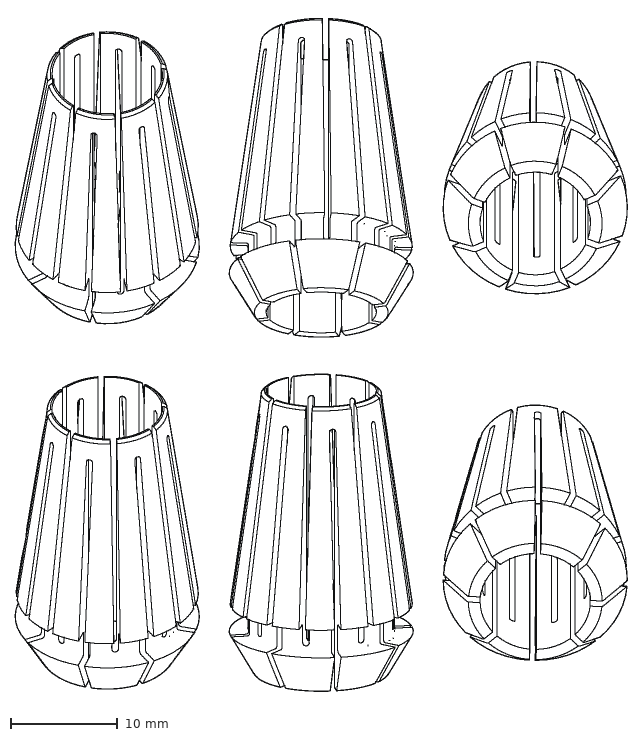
import cadquery as cq
import math

total_height = 27.5
bore_radius = 5.155

flange_diameter = 17.25
flange_radius = flange_diameter / 2
flange_height = 4.0
flange_angle = 30.0
bottom_chamfer = 0.15

groove_radius = 6.88
groove_height = 2.67
groove_fillet = 0.25
groove_top_fillet = 0.16

taper_angle = 8.0
taper_base_radius = 8.52
taper_base_z = flange_height + groove_height
tip_chamfer_height = 0.28
tip_face_width = 0.16

slit_width = 0.6
slits_per_end = 8
slit_pitch = 360.0 / slits_per_end
lower_slit_top = 25.46
upper_slit_bottom = 4.6


def collet_body():
    """Revolve the outer profile, including the bore, about Z."""
    bottom_radius = flange_radius - flange_height * math.tan(math.radians(flange_angle))
    chamfer_radius = bottom_radius + bottom_chamfer * math.tan(math.radians(flange_angle))
    tip_z = total_height - tip_chamfer_height
    tip_radius = taper_base_radius - (tip_z - taper_base_z) * math.tan(math.radians(taper_angle))
    profile = (
        cq.Workplane("XZ")
        .moveTo(bore_radius, 0)
        .lineTo(chamfer_radius - bottom_chamfer, 0)
        .lineTo(chamfer_radius, bottom_chamfer)
        .lineTo(flange_radius, flange_height)
        .lineTo(groove_radius + groove_fillet, flange_height)
        .radiusArc((groove_radius, flange_height + groove_fillet), groove_fillet)
        .lineTo(groove_radius, taper_base_z - groove_top_fillet)
        .radiusArc((groove_radius + groove_top_fillet, taper_base_z), groove_top_fillet)
        .lineTo(taper_base_radius, taper_base_z)
        .lineTo(tip_radius, tip_z)
        .lineTo(bore_radius + tip_face_width, total_height)
        .lineTo(bore_radius, total_height)
        .close()
    )
    return profile.revolve(360, (0, 0, 0), (0, 1, 0))


def radial_slit(round_end_z, open_end_z):
    """Slit through one wall toward +X, with a full round at its closed end."""
    half_width = slit_width / 2
    toward_open = math.copysign(1, open_end_z - round_end_z)
    arc_z = round_end_z + toward_open * half_width
    return (
        cq.Workplane("YZ")
        .moveTo(-half_width, open_end_z)
        .lineTo(-half_width, arc_z)
        .threePointArc((0, round_end_z), (half_width, arc_z))
        .lineTo(half_width, open_end_z)
        .close()
        .extrude(flange_radius + slit_width)
    )


def cut_slits(body, slit, start_angle):
    """Cut evenly spaced copies of a slit around Z, the first at start_angle from +X."""
    for i in range(slits_per_end):
        body = body.cut(slit.rotate((0, 0, 0), (0, 0, 1), start_angle + i * slit_pitch))
    return body


result = collet_body()
result = cut_slits(result, radial_slit(lower_slit_top, 0), 0)
result = cut_slits(result, radial_slit(upper_slit_bottom, total_height), slit_pitch / 2)